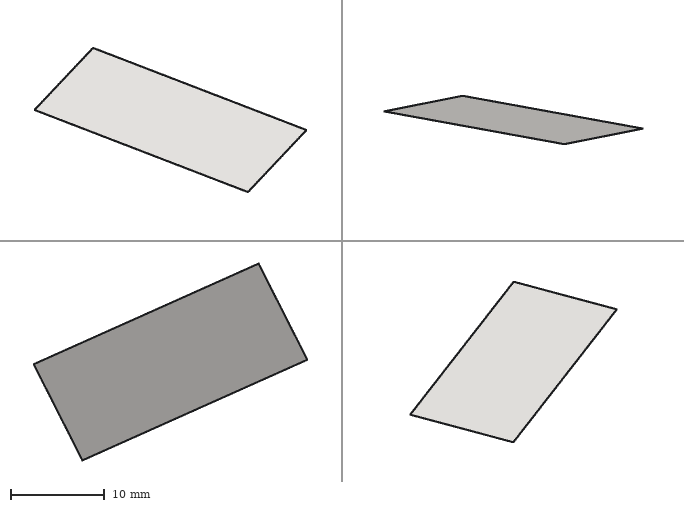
import cadquery as cq

length = 26.6
width = 12.1
thickness = 0.05

result = cq.Workplane("XY").box(length, width, thickness)